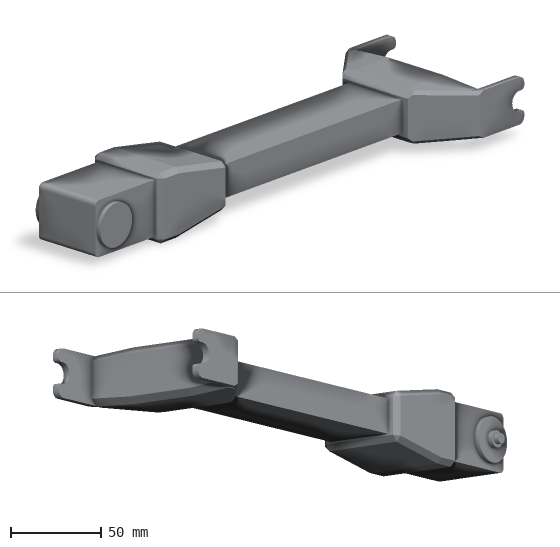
import cadquery as cq
import math


total_length = 317.5
fork_width = 101.3
clamp_height = 42.0

bar_width = 39.7
bar_height = 20.0

block_width = 43.0
block_height = 33.7
block_nose_radius = 3.0

pin_y = 13.5
washer_diameter = 26.0
nut_diameter = 10.0
stud_diameter = 6.0
pin_step = 3.0

clamp_width = 52.7
clamp_start_y = 48.0
clamp_length = 55.5
clamp_flat_length = 15.2
clamp_taper_angle = 10.0
clamp_chamfer = 3.0

yoke_front_y = 250.5
yoke_front_width = 49.5
yoke_back_y = 287.5
yoke_height = 32.0
yoke_flat_width = 41.3
yoke_front_chamfer = 4.5
yoke_back_chamfer = 3.8
wing_chamfer = 2.0
elbow_y = 281.0
elbow_break = 0.5
arm_thickness = 4.0
arm_height = 28.0
arm_inner_x = fork_width / 2 - arm_thickness
arm_tip_radius = 4.0
notch_radius = 6.0
notch_depth = 10.0
notch_lip_radius = 2.2


def mirrored_outline(workplane, half_outline):
    """Close an outline given for its positive-X half, listed from end to end."""
    other_half = [(-x, y) for x, y in reversed(half_outline)]
    return workplane.polyline(half_outline + other_half).close()


def make_block():
    """Pivot block, rounded along its two front X edges."""
    length = clamp_start_y + clamp_length / 2
    block = cq.Workplane("XY").box(block_width, length, block_height, centered=(True, False, True))
    return block.faces("<Y").edges("|X").fillet(block_nose_radius)


def make_pin():
    """Washers on both sides of the block, with a nut and stud end on the -X side."""

    def disc(diameter, start_x):
        plane = cq.Workplane("YZ", origin=(start_x, pin_y, 0))
        return plane.circle(diameter / 2).extrude(block_width / 2 - start_x)

    washer_x = -block_width / 2 - pin_step
    nut_x = washer_x - pin_step
    stud_x = nut_x - pin_step
    far_washer = disc(washer_diameter, washer_x).mirror("YZ")
    return (
        disc(washer_diameter, washer_x)
        .union(far_washer)
        .union(disc(nut_diameter, nut_x))
        .union(disc(stud_diameter, stud_x))
    )


def make_clamp():
    """Sleeve of full height near the block, tapering towards the bar."""
    flat_end_y = clamp_start_y + clamp_flat_length
    end_y = clamp_start_y + clamp_length
    half_height = clamp_height / 2
    taper_drop = (end_y - flat_end_y) * math.tan(math.radians(clamp_taper_angle))
    end_half_height = half_height - taper_drop
    profile = [
        (clamp_start_y, -half_height),
        (flat_end_y, -half_height),
        (end_y, -end_half_height),
        (end_y, end_half_height),
        (flat_end_y, half_height),
        (clamp_start_y, half_height),
    ]
    clamp = cq.Workplane("YZ").polyline(profile).close().extrude(clamp_width / 2, both=True)
    return clamp.faces("<X or >X or <Y or >Y").edges().chamfer(clamp_chamfer)


def make_bar():
    """Plain bar running from inside the clamp into the yoke."""
    start_y = clamp_start_y + clamp_length / 2
    length = (yoke_front_y + yoke_back_y) / 2 - start_y
    bar = cq.Workplane("XY").box(bar_width, length, bar_height, centered=(True, False, True))
    return bar.translate((0, start_y, 0))


def make_fork_blank():
    """Yoke with slanted sides and two straight arms, all edges sharp."""
    plan = [
        (yoke_front_width / 2, yoke_front_y),
        (fork_width / 2, elbow_y),
        (fork_width / 2, total_length),
        (arm_inner_x, total_length),
        (arm_inner_x, yoke_back_y),
    ]
    blank = mirrored_outline(cq.Workplane("XY"), plan).extrude(yoke_height / 2, both=True)

    heights = [
        (yoke_flat_width / 2, -yoke_height / 2),
        (fork_width / 2, -arm_height / 2),
        (fork_width / 2, arm_height / 2),
        (yoke_flat_width / 2, yoke_height / 2),
    ]
    section = mirrored_outline(cq.Workplane("XZ"), heights).extrude(-total_length)
    return blank.intersect(section)


def chamfer_yoke(fork):
    """Chamfer the yoke's elbows, slanted walls, front and back."""
    fork = fork.edges("|Z").edges("<X or >X").edges("<Y").chamfer(elbow_break)

    wall_x = (fork_width + yoke_front_width) / 4
    wall_y = (yoke_front_y + elbow_y) / 2
    for side in (-1, 1):
        wall = fork.faces(cq.selectors.NearestToPointSelector((side * wall_x, wall_y, 0)))
        fork = wall.edges("not |Z").chamfer(wing_chamfer)

    front_half_height = yoke_height / 2 - yoke_front_chamfer
    bevel_end_y = yoke_front_y + yoke_front_chamfer
    side_profile = [
        (yoke_front_y, -front_half_height),
        (bevel_end_y, -yoke_height / 2),
        (total_length, -yoke_height / 2),
        (total_length, yoke_height / 2),
        (bevel_end_y, yoke_height / 2),
        (yoke_front_y, front_half_height),
    ]
    bevelled = cq.Workplane("YZ").polyline(side_profile).close().extrude(fork_width / 2, both=True)
    fork = fork.intersect(bevelled)

    margin = 0.03
    back_edges = cq.selectors.BoxSelector(
        (-arm_inner_x, yoke_back_y - margin, -yoke_height),
        (arm_inner_x, yoke_back_y + margin, yoke_height),
    )
    return fork.edges(back_edges).edges("not |Z").chamfer(yoke_back_chamfer)


def finish_arms(fork):
    """Level the arms top and bottom, round their tips and cut the notches."""
    arm_x = (arm_inner_x + fork_width / 2) / 2
    trim_depth = yoke_height - arm_height
    trim_z = (arm_height + trim_depth) / 2
    trim = cq.Workplane("XY").box(arm_thickness, total_length, trim_depth, centered=(True, False, True))
    for x in (-arm_x, arm_x):
        for z in (-trim_z, trim_z):
            fork = fork.cut(trim.translate((x, 0, z)))
    fork = fork.faces(">Y").edges("|X").fillet(arm_tip_radius)
    return fork.cut(make_notch_cutter())


def make_notch_cutter():
    """Round-bottomed notch opening at the arm tips, with rounded lips, through both arms."""
    centre_y = total_length - notch_depth + notch_radius
    lip_start_y = total_length - notch_lip_radius
    lip_mid = notch_lip_radius * math.sqrt(0.5)
    lip_centre_z = notch_radius + notch_lip_radius
    profile = (
        cq.Workplane("YZ")
        .moveTo(total_length, -lip_centre_z)
        .threePointArc((lip_start_y + lip_mid, lip_mid - lip_centre_z), (lip_start_y, -notch_radius))
        .lineTo(centre_y, -notch_radius)
        .threePointArc((centre_y - notch_radius, 0), (centre_y, notch_radius))
        .lineTo(lip_start_y, notch_radius)
        .threePointArc((lip_start_y + lip_mid, lip_centre_z - lip_mid), (total_length, lip_centre_z))
        .close()
    )
    return profile.extrude(fork_width / 2, both=True)


result = (
    make_block()
    .union(make_pin())
    .union(make_clamp())
    .union(make_bar())
    .union(finish_arms(chamfer_yoke(make_fork_blank())))
)